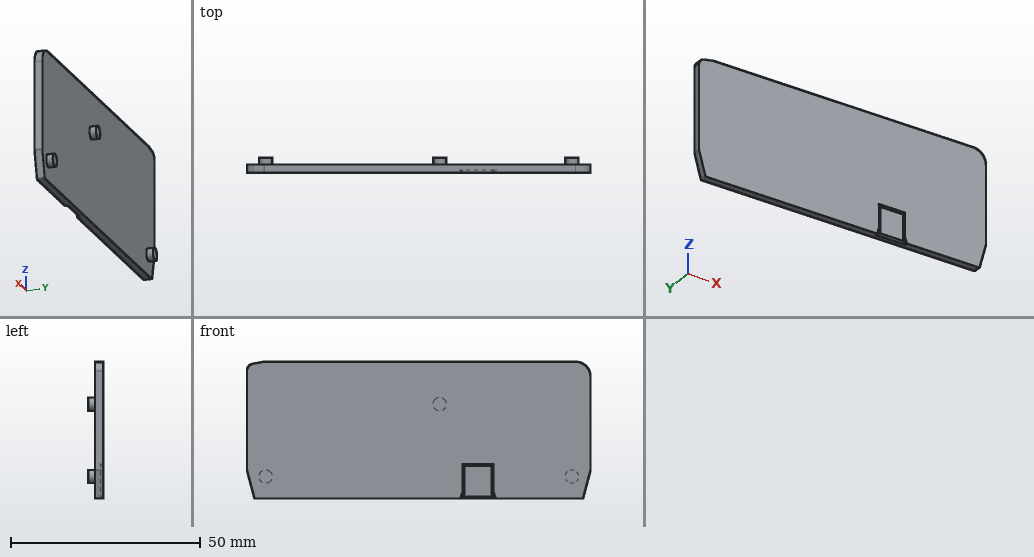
import cadquery as cq
import math

plate_width = 90.5
plate_height = 36.1
plate_thickness = 2.2

taper_angle = 15.0
taper_height = 7.5
slope_angle = 10.0
slope_width = 4.6
top_right_radius = 4.0
top_left_radius = 2.0
bottom_radius = 0.5
blend_radius = 1.0

overall_depth = 4.0
peg_diameter = 3.5
outer_peg_x = 40.3
middle_peg_x = 5.5
lower_peg_z = 5.85
upper_peg_z = 24.9
peg_centres = [
    (-outer_peg_x, lower_peg_z),
    (middle_peg_x, upper_peg_z),
    (outer_peg_x, lower_peg_z),
]

tongue_centre_x = 15.6
tongue_width = 8.2
tongue_height = 9.2
flare_width = 0.6
flare_height = 1.6
tongue_setback = 0.2
bevel_depth = 0.55
bevel_angle = 45.0

half_width = plate_width / 2
peg_height = overall_depth - plate_thickness
recess_depth = tongue_setback + bevel_depth


def outline_sketch(points, y):
    """Closed polygon of (X, Z) points at depth y; its extrusions run toward -Y."""
    return cq.Workplane("XZ", origin=(0, y, 0)).polyline(points).close()


def round_corner(body, point, radius):
    """Fillet the edge along Y that passes through an (X, Z) outline corner."""
    x, z = point
    corner = cq.selectors.NearestToPointSelector((x, plate_thickness / 2, z))
    return body.edges("|Y").edges(corner).fillet(radius)


def make_plate():
    bottom_half = half_width - taper_height * math.tan(math.radians(taper_angle))
    slope_drop = slope_width * math.tan(math.radians(slope_angle))
    corners = [
        ((-bottom_half, 0), bottom_radius),
        ((bottom_half, 0), bottom_radius),
        ((half_width, taper_height), blend_radius),
        ((half_width, plate_height), top_right_radius),
        ((slope_width - half_width, plate_height), blend_radius),
        ((-half_width, plate_height - slope_drop), top_left_radius),
        ((-half_width, taper_height), blend_radius),
    ]
    outline = [point for point, _ in corners]
    plate = outline_sketch(outline, plate_thickness).extrude(plate_thickness)
    for point, radius in corners:
        plate = round_corner(plate, point, radius)
    return plate


def add_pegs(body):
    back = cq.Workplane("XZ", origin=(0, plate_thickness, 0))
    pegs = back.pushPoints(peg_centres).circle(peg_diameter / 2).extrude(-peg_height)
    return body.union(pegs)


def add_recessed_tongue(body):
    """Cut a recess into the front face and stand the bevelled tongue in it."""
    left = tongue_centre_x - tongue_width / 2
    right = tongue_centre_x + tongue_width / 2
    outline = [
        (left - flare_width, 0),
        (right + flare_width, 0),
        (right, flare_height),
        (right, tongue_height),
        (left, tongue_height),
        (left, flare_height),
    ]
    recess = outline_sketch(outline, recess_depth).extrude(recess_depth)
    tongue = outline_sketch(outline, recess_depth).extrude(bevel_depth, taper=bevel_angle)
    return body.cut(recess).union(tongue)


result = add_recessed_tongue(add_pegs(make_plate()))